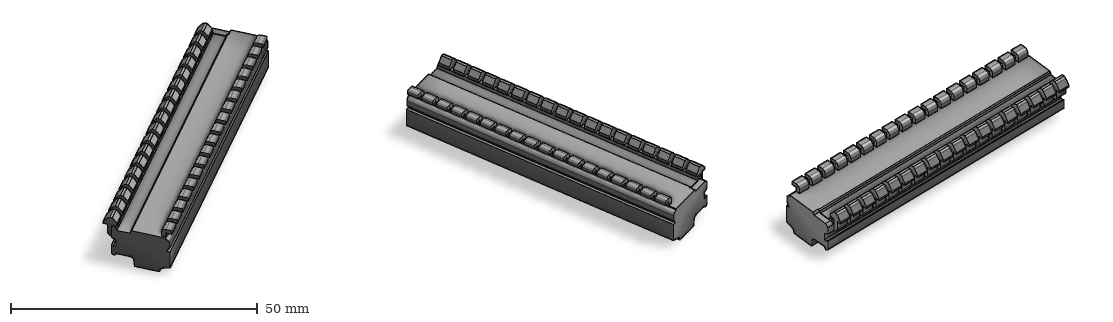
import cadquery as cq

LENGTH = 64.5
TOTAL_WIDTH = 14.7
TOTAL_HEIGHT = 11.5
BACK_END = LENGTH / 2

BODY_TOP = 9.5
CHANNEL_FLOOR = 8.7
CHANNEL_LEFT = 3.1
CHANNEL_RIGHT = 5.9
CHANNEL_WALL_X = 6.0
CHANNEL_RIM_X = 6.25
CHANNEL_BEVEL = 0.25
TOP_RIGHT = 13.4

BODY_RIGHT = 14.45
UPPER_RIGHT = 14.3
STEP_X = 13.8
STEP_Z = 6.0
STEP_NECK_Z = 6.25
UPPER_WALL_Z = 6.9
SHOULDER_Z = 9.15
SHOULDER_RADIUS = UPPER_RIGHT - TOP_RIGHT

LEFT_FACE = 1.95
GROOVE_X = 2.9
GROOVE_TOP_Z = 6.0
GROOVE_FLOOR_Z = 4.3
LIP_BEVEL_WIDTH = 0.4
LIP_BEVEL_HEIGHT = 0.2
UNDERSIDE = 2.4
LIP_RADIUS = (GROOVE_X - LEFT_FACE) / 2

FOOT_LEFT = 6.85
FOOT_CORNER_X = 6.65
FOOT_CORNER_Z = 1.95
FOOT_FILLET_START_X = 5.95
FOOT_FILLET_MID = (6.3, 2.2)
FOOT_RIGHT = 12.25
FOOT_BEVEL_WIDTH = 0.2
FOOT_BEVEL_HEIGHT = 0.25
SLOPE_START_Z = 0.8
SLOPE_MID = (13.3, 1.3)
SLOPE_END_Z = 1.6

TAB_COUNT = 18
TAB_LENGTH = 2.6
BACK_MARGIN = 1.75
FRONT_MARGIN = 0.4
TAB_PITCH = (LENGTH - BACK_MARGIN - FRONT_MARGIN - TAB_LENGTH) / (TAB_COUNT - 1)

STEM_LEFT = 0.95
STEM_ROUND_Z = 7.55
STEM_ROUND_MID = (1.2, 6.85)
STEM_BOTTOM = 6.5
HOOK_TIP_Z = 9.95
HOOK_ROUND_START = (0.95, 11.15)
HOOK_ROUND_MID = (1.15, 11.35)
HOOK_PEAK_LEFT = 1.4
HOOK_PEAK_RIGHT = 2.0
HOOK_RIGHT = 3.0
HOOK_RIGHT_Z = 10.3

FINGER_LEFT = 12.45
FINGER_BEND = TOP_RIGHT - FINGER_LEFT
FINGER_UNDERSIDE = TOTAL_HEIGHT - FINGER_BEND
FINGER_TIP_ROUND = 0.25
FINGER_ROOT_Z = 8.7

RELIEF_LENGTH = 1.4
RELIEF_FLOOR = 8.9
RELIEF_ROUND_START = 8.2
RELIEF_ROUND_MID = (2.2, 8.65)
RELIEF_LEFT = 2.6
RELIEF_RIGHT = 6.1
RELIEF_RIM_X = 6.45


def section_start(x, z):
    return cq.Workplane("XZ").moveTo(x, z)


def extrude_section(section, back, length):
    """Close an XZ section and extrude it from Y = back toward -Y."""
    return section.close().extrude(length).translate((0, back, 0))


def make_body():
    section = (
        section_start(FOOT_LEFT, 0)
        .lineTo(FOOT_RIGHT - FOOT_BEVEL_WIDTH, 0)
        .lineTo(FOOT_RIGHT, FOOT_BEVEL_HEIGHT)
        .lineTo(FOOT_RIGHT, SLOPE_START_Z)
        .threePointArc(SLOPE_MID, (BODY_RIGHT, SLOPE_END_Z))
        .lineTo(BODY_RIGHT, STEP_Z)
        .lineTo(STEP_X, STEP_Z)
        .lineTo(STEP_X, STEP_NECK_Z)
        .lineTo(UPPER_RIGHT, UPPER_WALL_Z)
        .lineTo(UPPER_RIGHT, SHOULDER_Z - SHOULDER_RADIUS)
        .tangentArcPoint((TOP_RIGHT, SHOULDER_Z), relative=False)
        .lineTo(TOP_RIGHT, BODY_TOP)
        .lineTo(CHANNEL_RIM_X, BODY_TOP)
        .lineTo(CHANNEL_WALL_X, BODY_TOP - CHANNEL_BEVEL)
        .lineTo(CHANNEL_RIGHT, CHANNEL_FLOOR)
        .lineTo(CHANNEL_LEFT, CHANNEL_FLOOR)
        .lineTo(GROOVE_X, BODY_TOP)
        .lineTo(LEFT_FACE, BODY_TOP)
        .lineTo(LEFT_FACE, STEM_BOTTOM)
        .lineTo(GROOVE_X, GROOVE_TOP_Z)
        .lineTo(GROOVE_X, GROOVE_FLOOR_Z)
        .lineTo(LEFT_FACE + LIP_BEVEL_WIDTH, GROOVE_FLOOR_Z)
        .lineTo(LEFT_FACE, GROOVE_FLOOR_Z + LIP_BEVEL_HEIGHT)
        .lineTo(LEFT_FACE, UNDERSIDE)
        .threePointArc((LEFT_FACE + LIP_RADIUS, UNDERSIDE - LIP_RADIUS), (GROOVE_X, UNDERSIDE))
        .lineTo(FOOT_FILLET_START_X, UNDERSIDE)
        .threePointArc(FOOT_FILLET_MID, (FOOT_CORNER_X, FOOT_CORNER_Z))
    )
    return extrude_section(section, BACK_END, LENGTH)


def make_relief_cutter():
    """Everything removed above the rounded edge, floor and leaning wall of the end relief."""
    section = (
        section_start(LEFT_FACE, RELIEF_ROUND_START)
        .threePointArc(RELIEF_ROUND_MID, (RELIEF_LEFT, RELIEF_FLOOR))
        .lineTo(RELIEF_RIGHT, RELIEF_FLOOR)
        .lineTo(RELIEF_RIM_X, BODY_TOP)
        .lineTo(RELIEF_RIM_X, TOTAL_HEIGHT)
        .lineTo(LEFT_FACE, TOTAL_HEIGHT)
    )
    return extrude_section(section, BACK_END, RELIEF_LENGTH)


def make_relief_floor():
    """Block that raises the channel floor inside the end relief."""
    section = (
        section_start(RELIEF_LEFT, RELIEF_ROUND_START)
        .lineTo(RELIEF_RIGHT, RELIEF_ROUND_START)
        .lineTo(RELIEF_RIGHT, RELIEF_FLOOR)
        .lineTo(RELIEF_LEFT, RELIEF_FLOOR)
    )
    return extrude_section(section, BACK_END, RELIEF_LENGTH)


def make_hook(back):
    section = (
        section_start(LEFT_FACE, STEM_BOTTOM)
        .threePointArc(STEM_ROUND_MID, (STEM_LEFT, STEM_ROUND_Z))
        .lineTo(STEM_LEFT, BODY_TOP)
        .lineTo(0, BODY_TOP)
        .lineTo(0, HOOK_TIP_Z)
        .lineTo(*HOOK_ROUND_START)
        .threePointArc(HOOK_ROUND_MID, (HOOK_PEAK_LEFT, TOTAL_HEIGHT))
        .lineTo(HOOK_PEAK_RIGHT, TOTAL_HEIGHT)
        .lineTo(HOOK_RIGHT, HOOK_RIGHT_Z)
        .lineTo(HOOK_RIGHT, BODY_TOP)
        .lineTo(GROOVE_X, BODY_TOP)
        .lineTo(GROOVE_X, STEM_BOTTOM)
    )
    return extrude_section(section, back, TAB_LENGTH)


def make_finger(back):
    section = (
        section_start(FINGER_LEFT, FINGER_ROOT_Z)
        .lineTo(FINGER_LEFT, TOTAL_HEIGHT - FINGER_BEND)
        .tangentArcPoint((TOP_RIGHT, TOTAL_HEIGHT), relative=False)
        .lineTo(TOTAL_WIDTH - FINGER_TIP_ROUND, TOTAL_HEIGHT)
        .tangentArcPoint((TOTAL_WIDTH, TOTAL_HEIGHT - FINGER_TIP_ROUND), relative=False)
        .lineTo(TOTAL_WIDTH, FINGER_UNDERSIDE)
        .lineTo(TOP_RIGHT, FINGER_UNDERSIDE)
        .lineTo(TOP_RIGHT, FINGER_ROOT_Z)
    )
    return extrude_section(section, back, TAB_LENGTH)


result = make_body().cut(make_relief_cutter()).union(make_relief_floor())
for index in range(TAB_COUNT):
    tab_back = BACK_END - BACK_MARGIN - index * TAB_PITCH
    result = result.union(make_hook(tab_back)).union(make_finger(tab_back))